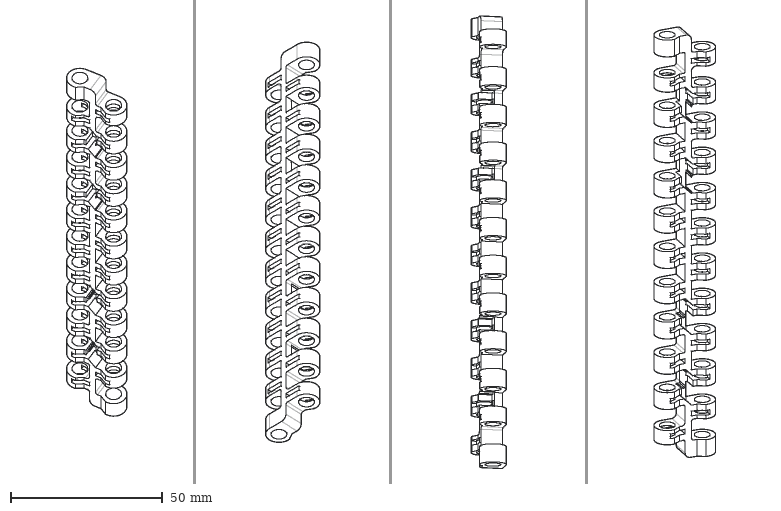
import cadquery as cq
import math

length = 152.4
width = 21.5
depth = 8.8
knuckle_count = 12
pitch = length / knuckle_count
knuckle_height = 6.1

outer_radius = depth / 2
bore_radius = 2.6
bore_offset = width / 2 - outer_radius
spine_half_width = 1.15
web_front = -2.9
web_start = 3.2
shoulder_end = 5.6

slot_height = 1.7
slot_end = 7.2

end_gap_trim = 0.9
end_corner_radius = 2.0
gap_fillet = 0.8
large_gap_fillet = 1.5
left_filleted_gaps = (1, 8, 9, 10, 11)

pocket_gaps = (2, 4, 8, 10)
pocket_back = 1.7
pocket_left_wall = 2.5
pocket_right_wall = 1.7

middle = (0, 0, length / 2)
middle_axis_end = (0, 1, length / 2)


def half_turn(shape):
    return shape.rotate(middle, middle_axis_end, 180)


def left_top(number):
    """Top of a left knuckle, numbered from 1 at the upper end."""
    top = length - (number - 1) * pitch
    if number in (2, knuckle_count):
        top -= end_gap_trim
    return top


def left_bottom(number):
    return length - (number - 1) * pitch - knuckle_height


def left_knuckle(number):
    shoulder_drop = math.sqrt(outer_radius**2 - (bore_offset - shoulder_end) ** 2)
    bottom = left_bottom(number)
    return (
        cq.Workplane("XY", origin=(0, 0, bottom))
        .moveTo(0, outer_radius)
        .lineTo(-bore_offset, outer_radius)
        .threePointArc((-bore_offset - outer_radius, 0), (-shoulder_end, -shoulder_drop))
        .lineTo(-web_start, web_front)
        .lineTo(0, web_front)
        .close()
        .extrude(left_top(number) - bottom)
    )


def left_cuts():
    """Bore along the whole left row and the slots of knuckles 2 to 12."""
    cuts = cq.Workplane("XY").center(-bore_offset, 0).circle(bore_radius).extrude(length)
    for number in range(2, knuckle_count + 1):
        slot_middle = left_bottom(number) + knuckle_height / 2
        slot = cq.Workplane("XY").box(slot_end - spine_half_width, depth, slot_height)
        cuts = cuts.union(slot.translate((-(slot_end + spine_half_width) / 2, 0, slot_middle)))
    return cuts


def round_corner(body, side, height, radius):
    """Round the Y-direction edge at one height on the left (-1) or right (1) spine face."""
    reach = 0.08
    x = side * spine_half_width
    corner = cq.selectors.BoxSelector(
        (x - reach, -depth, height - reach),
        (x + reach, depth, height + reach),
    )
    return body.edges("|Y").edges(corner).fillet(radius)


def round_corner_pair(body, side, height, radius):
    """Round a corner and the matching corner half a turn away."""
    body = round_corner(body, side, height, radius)
    return round_corner(body, -side, length - height, radius)


def relief_pocket(gap):
    """Slanted pocket joining a left gap to the right gap below it."""
    gap_height = pitch - knuckle_height
    slant_level = gap_height - spine_half_width
    outline = [
        (-spine_half_width, 0),
        (-spine_half_width, gap_height),
        (pocket_right_wall, slant_level - pocket_right_wall),
        (pocket_right_wall, 0),
        (spine_half_width, 0),
        (spine_half_width, -gap_height),
        (-pocket_left_wall, pocket_left_wall - slant_level),
        (-pocket_left_wall, 0),
    ]
    return (
        cq.Workplane("XZ", origin=(0, pocket_back, length - gap * pitch))
        .polyline(outline)
        .close()
        .extrude(depth)
    )


spine_depth = outer_radius - web_front
body = (
    cq.Workplane("XY")
    .box(2 * spine_half_width, spine_depth, length, centered=(True, False, False))
    .translate((0, web_front, 0))
)
for number in range(1, knuckle_count + 1):
    knuckle = left_knuckle(number)
    body = body.union(knuckle).union(half_turn(knuckle))

body = round_corner_pair(body, 1, length, end_corner_radius)
body = round_corner_pair(body, -1, left_bottom(knuckle_count), gap_fillet)
for gap in left_filleted_gaps:
    lower_radius = large_gap_fillet if gap == knuckle_count - 1 else gap_fillet
    body = round_corner_pair(body, -1, left_bottom(gap), gap_fillet)
    body = round_corner_pair(body, -1, left_top(gap + 1), lower_radius)

cuts = left_cuts()
body = body.cut(cuts).cut(half_turn(cuts))
for gap in pocket_gaps:
    body = body.cut(relief_pocket(gap))

result = body